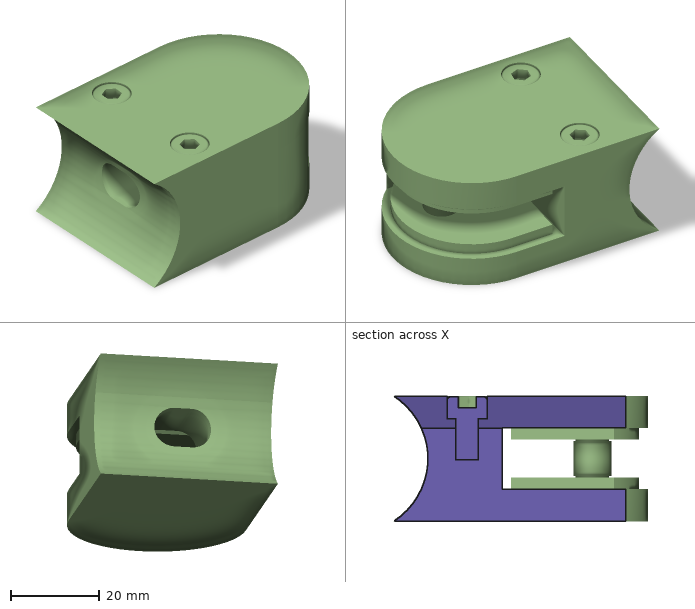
import cadquery as cq
import math

width = 41.0
length = 57.85
height = 28.5
end_radius = width / 2
tail_y = end_radius - length

plate_thickness = 7.35
slot_bottom_z = plate_thickness - height / 2
slot_top_z = -slot_bottom_z
slot_back_y = -12.55
side_wall_x = 15.4

saddle_radius = 16.9

passage_width = 13.15
passage_height = 9.15

pad_thickness = 2.6
pad_inset = 2.0

pin_diameter = 8.55
pin_neck_diameter = 7.65
pin_neck_length = 0.35
pin_y = 7.9

screw_x = 13.5
screw_y = -20.55
screw_tilts = {-screw_x: -3.0, screw_x: -10.0}
head_diameter = 9.0
head_recess = 0.2
head_height = 5.0
head_fillet = 0.65
hex_across_corners = 4.6
hex_depth = 2.5
shank_diameter = 5.0
shank_length = 9.25
head_top_z = height / 2 - head_recess
head_bottom_z = head_top_z - head_height


def rounded_plate(bottom_z, top_z):
    """Plan outline of the clamp, square at the tail and round at the other end."""
    return (
        cq.Workplane("XY", origin=(0, 0, bottom_z))
        .moveTo(-end_radius, tail_y)
        .lineTo(end_radius, tail_y)
        .lineTo(end_radius, 0)
        .threePointArc((0, end_radius), (-end_radius, 0))
        .close()
        .extrude(top_z - bottom_z)
    )


def saddle():
    """Cylinder along X whose surface meets the top and bottom edges of the tail."""
    axis_y = tail_y - math.sqrt(saddle_radius**2 - (height / 2) ** 2)
    return (
        cq.Workplane("YZ", origin=(-end_radius, 0, 0))
        .center(axis_y, 0)
        .circle(saddle_radius)
        .extrude(width)
    )


def screw_cylinder(x, diameter, top_z, bottom_z):
    """Upright cylinder at one screw position."""
    return (
        cq.Workplane("XY", origin=(x, screw_y, bottom_z))
        .circle(diameter / 2)
        .extrude(top_z - bottom_z)
    )


def screw_blank(x, top_z):
    """Plain head and shank, with the head reaching up to the given level."""
    head = screw_cylinder(x, head_diameter, top_z, head_bottom_z)
    shank = screw_cylinder(x, shank_diameter, head_bottom_z, head_bottom_z - shank_length)
    return head.union(shank)


def cut_screw_holes(body):
    """Remove the stepped holes that hold the screws, open at the top face."""
    for x in screw_tilts:
        body = body.cut(screw_blank(x, height / 2))
    return body


def slot_space(bottom_z, top_z, inset):
    """Glass slot, open at the round end and on the -X side, drawn in from its outline by the inset."""
    radius = end_radius - inset
    right_x = side_wall_x - inset
    back_y = slot_back_y + inset
    arc_end_y = math.sqrt(radius**2 - right_x**2)
    return (
        cq.Workplane("XY", origin=(0, 0, bottom_z))
        .moveTo(-radius, back_y)
        .lineTo(right_x, back_y)
        .lineTo(right_x, arc_end_y)
        .threePointArc((0, radius), (-radius, 0))
        .close()
        .extrude(top_z - bottom_z)
    )


def make_housing():
    """Floor plate, tail block and one side wall, under the cap."""
    body = rounded_plate(-height / 2, slot_top_z)
    body = body.cut(slot_space(slot_bottom_z, slot_top_z, 0))
    passage = (
        cq.Workplane("XZ", origin=(0, slot_back_y, 0))
        .slot2D(passage_width, passage_height)
        .extrude(slot_back_y - tail_y)
    )
    return cut_screw_holes(body.cut(saddle()).cut(passage))


def make_cap():
    """Top plate, bored for the screws."""
    return cut_screw_holes(rounded_plate(slot_top_z, height / 2).cut(saddle()))


def make_pad(bottom_z):
    """Flat gasket pad lying against the housing floor or the cap."""
    return slot_space(bottom_z, bottom_z + pad_thickness, pad_inset)


def make_pin():
    """Pin filling the gap between the pads, stepped down to a short neck at each end."""
    pin_length = slot_top_z - slot_bottom_z - 2 * pad_thickness
    centre = cq.Workplane("XY", origin=(0, pin_y, 0))
    necks = centre.cylinder(pin_length, pin_neck_diameter / 2)
    barrel = centre.cylinder(pin_length - 2 * pin_neck_length, pin_diameter / 2)
    return necks.union(barrel)


def make_screw(x, tilt):
    """Screw sunk just below the cap face, its rounded head holding a tilted hexagon socket."""
    body = screw_blank(x, head_top_z).faces(">Z").edges().fillet(head_fillet)
    socket = (
        cq.Workplane("XY", origin=(x, screw_y, head_top_z))
        .transformed(rotate=(0, 0, tilt))
        .polygon(6, hex_across_corners)
        .extrude(-hex_depth)
    )
    return body.cut(socket)


housing = make_housing()
cap = make_cap()
pin = make_pin()
pads = [make_pad(z) for z in (slot_bottom_z, slot_top_z - pad_thickness)]
screws = [make_screw(x, tilt) for x, tilt in screw_tilts.items()]

result = cq.Compound.makeCompound(
    [housing.val(), cap.val(), pin.val()]
    + [pad.val() for pad in pads]
    + [screw.val() for screw in screws]
)